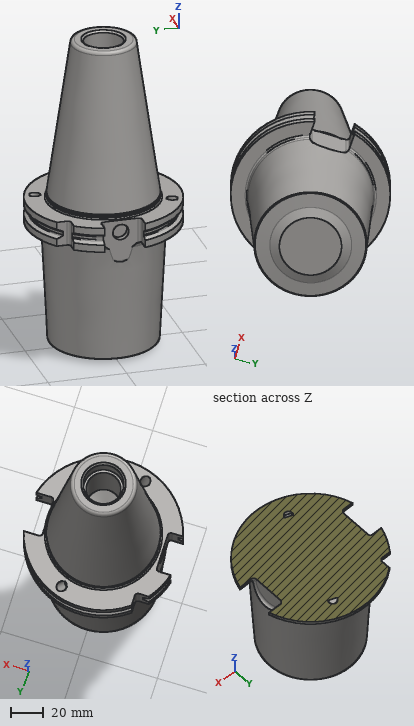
import cadquery as cq
import math

GAUGE_RADIUS = 69.85 / 2
TAPER_LENGTH = 101.75
TAPER_SLOPE = 7 / 48
TIP_RADIUS = GAUGE_RADIUS - TAPER_LENGTH * TAPER_SLOPE
TIP_FILLET = 2.4

RELIEF_BOTTOM = -2.4
RELIEF_DEPTH = 0.4
RELIEF_FLANK = 0.8
FLARE_RADIUS = 36.0

FLANGE_RADIUS = 97.5 / 2
FLANGE_TOP = -3.2
FLANGE_BOTTOM = -19.1
FLANGE_HEIGHT = FLANGE_TOP - FLANGE_BOTTOM
GROOVE_Z = (FLANGE_TOP + FLANGE_BOTTOM) / 2
GROOVE_ROOT_RADIUS = 91.25 / 2
GROOVE_ROOT_HALF_WIDTH = 1.4
GROOVE_FLANK_ANGLE = 30
GROOVE_ROOT_FILLET = 0.8
GROOVE_MOUTH_HALF_WIDTH = GROOVE_ROOT_HALF_WIDTH + (FLANGE_RADIUS - GROOVE_ROOT_RADIUS) * math.tan(
    math.radians(GROOVE_FLANK_ANGLE)
)

NECK_RADIUS = 39.2
NECK_FILLET = 1.2
BODY_TOP = -21.8
BODY_TOP_RADIUS = 38.4
BODY_BOTTOM = -97.0
BODY_BOTTOM_RADIUS = 34.5
BODY_CHAMFER = 0.6
NOSE_TOP = -97.6
NOSE_TOP_RADIUS = 25.0
NOSE_BOTTOM = -100.0
NOSE_BOTTOM_RADIUS = 19.0

EDGE_TOLERANCE = 0.1

SLOT_WIDTH = 25.7
SLOT_FILLET = 2.0
LEFT_SLOT_FLOOR = 37.7
RIGHT_SLOT_FLOOR = 35.5
SLOT_BOTTOM = -32.0
NOTCH_X = -30.0
NOTCH_Y = 30.0
NOTCH_FILLET = 2.0

SLOT_HOLE_DIAMETER = 10.0
SLOT_HOLE_DEPTH = 4.0

COOLANT_DIAMETER = 6.0
COOLANT_RADIUS = 42.1
COOLANT_ANGLE = 70
COOLANT_TILT = 30
COOLANT_DEPTH = 16.0

BORE_MOUTH_RADIUS = 13.7
BORE_RADIUS = 12.4
BORE_DEPTH = 11.5
THREAD_HOLE_RADIUS = 10.6
THREAD_HOLE_DEPTH = 47.0
DRILL_POINT_ANGLE = 118
DRILL_POINT = THREAD_HOLE_RADIUS / math.tan(math.radians(DRILL_POINT_ANGLE / 2))


def ring_at(radius, height, half_width):
    """Selector for the circular edges of a radius within half_width of a height."""
    outer = radius + EDGE_TOLERANCE
    reach = half_width + EDGE_TOLERANCE
    low_corner = (-outer, -outer, height - reach)
    high_corner = (outer, outer, height + reach)
    return cq.selectors.BoxSelector(low_corner, high_corner, boundingbox=True)


def turned_body():
    """Taper, flange and tool body as one revolved profile."""
    relief_radius = GAUGE_RADIUS - RELIEF_DEPTH
    profile = [
        (0, TAPER_LENGTH),
        (TIP_RADIUS, TAPER_LENGTH),
        (GAUGE_RADIUS, 0),
        (relief_radius, -RELIEF_FLANK),
        (relief_radius, RELIEF_BOTTOM + RELIEF_FLANK),
        (GAUGE_RADIUS, RELIEF_BOTTOM),
        (FLARE_RADIUS, FLANGE_TOP),
        (FLANGE_RADIUS, FLANGE_TOP),
        (FLANGE_RADIUS, GROOVE_Z + GROOVE_MOUTH_HALF_WIDTH),
        (GROOVE_ROOT_RADIUS, GROOVE_Z + GROOVE_ROOT_HALF_WIDTH),
        (GROOVE_ROOT_RADIUS, GROOVE_Z - GROOVE_ROOT_HALF_WIDTH),
        (FLANGE_RADIUS, GROOVE_Z - GROOVE_MOUTH_HALF_WIDTH),
        (FLANGE_RADIUS, FLANGE_BOTTOM),
        (NECK_RADIUS, FLANGE_BOTTOM),
        (BODY_TOP_RADIUS, BODY_TOP),
        (BODY_BOTTOM_RADIUS, BODY_BOTTOM + BODY_CHAMFER),
        (BODY_BOTTOM_RADIUS - BODY_CHAMFER, BODY_BOTTOM),
        (NOSE_TOP_RADIUS, NOSE_TOP),
        (NOSE_BOTTOM_RADIUS, NOSE_BOTTOM),
        (0, NOSE_BOTTOM),
    ]
    solid = cq.Workplane("XZ").polyline(profile).close().revolve(360, (0, 0, 0), (0, 1, 0))
    solid = solid.faces(">Z").edges().fillet(TIP_FILLET)
    root_edges = ring_at(GROOVE_ROOT_RADIUS, GROOVE_Z, GROOVE_ROOT_HALF_WIDTH)
    solid = solid.edges(root_edges).fillet(GROOVE_ROOT_FILLET)
    return solid.edges(ring_at(NECK_RADIUS, FLANGE_BOTTOM, 0)).fillet(NECK_FILLET)


def drive_slot(side, floor):
    """Cutter for a round-ended drive slot on the -X (side = -1) or +X (side = 1) flank."""
    half_width = SLOT_WIDTH / 2
    arc_center = SLOT_BOTTOM + half_width
    outline = (
        cq.Workplane("YZ")
        .moveTo(-half_width, FLANGE_TOP)
        .lineTo(-half_width, arc_center)
        .threePointArc((0, SLOT_BOTTOM), (half_width, arc_center))
        .lineTo(half_width, FLANGE_TOP)
        .close()
    )
    cutter = outline.extrude(side * FLANGE_RADIUS)
    floor_face = "<X" if side > 0 else ">X"
    cutter = cutter.faces(floor_face).edges("not >Z").fillet(SLOT_FILLET)
    return cutter.translate((side * floor, 0, 0))


def corner_notch():
    """Cutter for the square notch in the -X +Y edge of the flange."""
    reach = FLANGE_RADIUS
    cutter = cq.Workplane("XY").box(reach, reach, FLANGE_HEIGHT, centered=(False, False, False))
    cutter = cutter.edges("|Z and >X and <Y").fillet(NOTCH_FILLET)
    return cutter.translate((NOTCH_X - reach, NOTCH_Y, FLANGE_BOTTOM))


def slot_hole():
    """Cutter for the flat-bottomed hole in the -X slot floor."""
    floor = cq.Workplane("YZ", origin=(-LEFT_SLOT_FLOOR, 0, GROOVE_Z))
    return floor.circle(SLOT_HOLE_DIAMETER / 2).extrude(SLOT_HOLE_DEPTH)


def coolant_hole(angle):
    """Cutter for a coolant hole that leans towards the axis as it goes down."""
    overrun = COOLANT_DIAMETER
    cutter = cq.Workplane("XY").circle(COOLANT_DIAMETER / 2).extrude(COOLANT_DEPTH + overrun)
    cutter = cutter.translate((0, 0, -COOLANT_DEPTH))
    cutter = cutter.rotate((0, 0, 0), (0, 1, 0), COOLANT_TILT)
    cutter = cutter.translate((COOLANT_RADIUS, 0, FLANGE_TOP))
    return cutter.rotate((0, 0, 0), (0, 0, 1), angle)


def drawbar_bore():
    """Cutter for the chamfered counterbore and the thread hole below it."""
    chamfer = BORE_MOUTH_RADIUS - BORE_RADIUS
    thread_bottom = TAPER_LENGTH - THREAD_HOLE_DEPTH
    profile = [
        (0, TAPER_LENGTH),
        (BORE_MOUTH_RADIUS, TAPER_LENGTH),
        (BORE_RADIUS, TAPER_LENGTH - chamfer),
        (BORE_RADIUS, TAPER_LENGTH - BORE_DEPTH),
        (THREAD_HOLE_RADIUS, TAPER_LENGTH - BORE_DEPTH),
        (THREAD_HOLE_RADIUS, thread_bottom),
        (0, thread_bottom - DRILL_POINT),
    ]
    return cq.Workplane("XZ").polyline(profile).close().revolve(360, (0, 0, 0), (0, 1, 0))


result = turned_body()
result = result.cut(drive_slot(-1, LEFT_SLOT_FLOOR))
result = result.cut(drive_slot(1, RIGHT_SLOT_FLOOR))
result = result.cut(corner_notch())
result = result.cut(slot_hole())
for opposite in (0, 180):
    result = result.cut(coolant_hole(COOLANT_ANGLE + opposite))
result = result.cut(drawbar_bore())